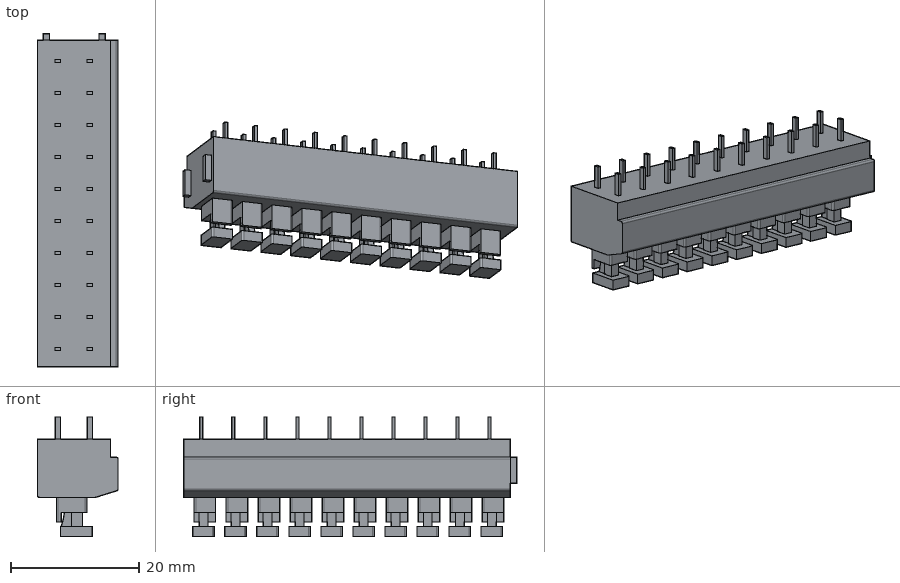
import cadquery as cq


pole_count = 10
pitch = 5.0

housing_width = 12.6
housing_length = 51.0
housing_height = 9.1
ledge_width = 1.15
ledge_drop = 2.8
slope_start_x = 9.05
slope_end_z = 1.1
corner_radius = 0.3

pin_size_x = 0.85
pin_size_y = 0.5
pin_height = 3.5
pin_row_count = 2
pin_row_spacing = 5.0
first_pin_row_x = 3.2
first_pin_y = 2.75

peg_width = 1.0
peg_height = 4.1
peg_length = 1.0
peg_top_drop = 2.8
peg_centres_x = (1.4, 10.1)

guide_x = 2.95
guide_size_x = 4.8
guide_size_y = 3.4
guide_depth = 2.35
guide_wall_thickness = 0.8
guide_wall_depth = 3.85
first_guide_y = 3.3

pad_x = 3.6
pad_size_x = 5.0
pad_size_y = 3.4
pad_thickness = 1.6
underside_depth = 6.1
first_lever_y = 3.1

stem_thick_start_x = 5.35
stem_end_x = 7.05
stem_thick_size_y = 1.4
web_size_y = 1.0
web_top_x = 4.2
web_bottom_x = 3.7
web_bulge = 0.06

pad_top_z = pad_thickness - underside_depth


def box(x, y_centre, z, size_x, size_y, size_z):
    """Box starting at x and z, centred on y_centre."""
    return cq.Workplane("XY").box(
        size_x, size_y, size_z, centered=(False, True, False)
    ).translate((x, y_centre, z))


def make_housing():
    ledge_x = housing_width - ledge_width
    ledge_z = housing_height - ledge_drop
    section = (
        cq.Workplane("XZ")
        .polyline([
            (0, 0),
            (slope_start_x, 0),
            (housing_width, slope_end_z),
            (housing_width, ledge_z),
            (ledge_x, ledge_z),
            (ledge_x, housing_height),
            (0, housing_height),
        ])
        .close()
    )
    body = section.extrude(-housing_length)
    body = body.edges("|Y and >X").fillet(corner_radius)
    return body.edges("|Y and <X and <Z").fillet(corner_radius)


def make_pin(x, y):
    return box(x - pin_size_x / 2, y, housing_height, pin_size_x, pin_size_y, pin_height)


def make_peg(x):
    z = housing_height - peg_top_drop - peg_height
    y_centre = housing_length + peg_length / 2
    return box(x - peg_width / 2, y_centre, z, peg_width, peg_length, peg_height)


def make_guide(y):
    block = box(guide_x, y, -guide_depth, guide_size_x, guide_size_y, guide_depth)
    wall = box(guide_x, y, -guide_wall_depth, guide_wall_thickness, guide_size_y, guide_wall_depth)
    guide = block.union(wall)
    outer_corners = guide.edges("|Z and <Y").edges("<X or >X")
    return outer_corners.fillet(corner_radius)


def make_stem(y):
    stem_height = -guide_depth - pad_top_z
    thick_size_x = stem_end_x - stem_thick_start_x
    thick = box(stem_thick_start_x, y, pad_top_z, thick_size_x, stem_thick_size_y, stem_height)
    curve_mid_x = (web_top_x + web_bottom_x) / 2 + web_bulge
    curve_mid_z = (pad_top_z - guide_depth) / 2
    web = (
        cq.Workplane("XZ")
        .moveTo(stem_thick_start_x, -guide_depth)
        .lineTo(web_top_x, -guide_depth)
        .threePointArc((curve_mid_x, curve_mid_z), (web_bottom_x, pad_top_z))
        .lineTo(stem_thick_start_x, pad_top_z)
        .close()
        .extrude(web_size_y / 2, both=True)
        .translate((0, y, 0))
    )
    return thick.union(web)


def make_pad(y):
    pad = box(pad_x, y, -underside_depth, pad_size_x, pad_size_y, pad_thickness)
    return pad.edges("|Z and >Y").fillet(corner_radius)


def make_part():
    part = make_housing()
    for x in peg_centres_x:
        part = part.union(make_peg(x))
    for pole in range(pole_count):
        offset = pole * pitch
        for row in range(pin_row_count):
            pin_x = first_pin_row_x + row * pin_row_spacing
            part = part.union(make_pin(pin_x, first_pin_y + offset))
        part = part.union(make_guide(first_guide_y + offset))
        part = part.union(make_stem(first_lever_y + offset))
        part = part.union(make_pad(first_lever_y + offset))
    return part


result = make_part()